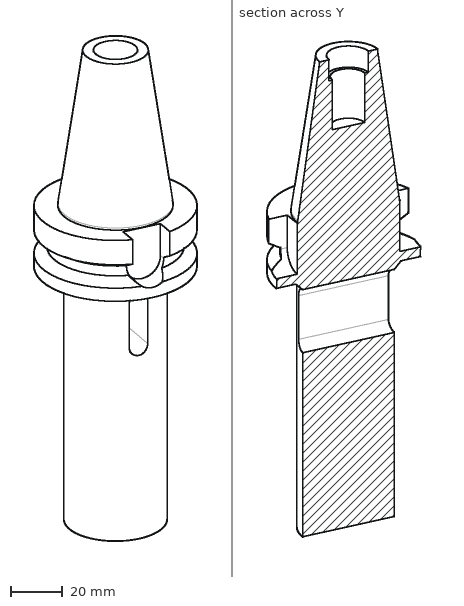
import cadquery as cq
import math

taper_length = 65.4
taper_ratio = 7 / 24
gauge_diameter = 44.45
taper_tip_diameter = gauge_diameter - taper_ratio * taper_length
shank_end_z = -135.0
shank_diameter = 40.0

flange_diameter = 63.0
flange_top_z = -1.0
flange_bottom_z = -27.0
groove_center_z = -16.4
groove_floor_diameter = 53.0
groove_floor_width = 4.2
groove_flank_angle = 30.0
groove_depth = (flange_diameter - groove_floor_diameter) / 2
groove_flank_height = groove_depth * math.tan(math.radians(groove_flank_angle))
neck_height = 3.0

key_width = 16.1
key_floor_offset = 22.5
key_bottom_z = -22.7

drift_width = 8.0
drift_top_z = -30.0
drift_bottom_z = -56.6

counterbore_diameter = 17.0
counterbore_depth = 9.0
stud_hole_diameter = 14.0
stud_hole_depth = 30.0


def make_body():
    """Revolve the taper, flange and shank as one half profile."""
    flange_radius = flange_diameter / 2
    groove_radius = groove_floor_diameter / 2
    gauge_radius = gauge_diameter / 2
    shank_radius = shank_diameter / 2
    groove_floor_top_z = groove_center_z + groove_floor_width / 2
    groove_floor_bottom_z = groove_center_z - groove_floor_width / 2
    profile = [
        (0, taper_length),
        (taper_tip_diameter / 2, taper_length),
        (gauge_radius, 0),
        (gauge_radius, flange_top_z),
        (flange_radius, flange_top_z),
        (flange_radius, groove_floor_top_z + groove_flank_height),
        (groove_radius, groove_floor_top_z),
        (groove_radius, groove_floor_bottom_z),
        (flange_radius, groove_floor_bottom_z - groove_flank_height),
        (flange_radius, flange_bottom_z),
        (shank_radius + neck_height, flange_bottom_z),
        (shank_radius, flange_bottom_z - neck_height),
        (shank_radius, shank_end_z),
        (0, shank_end_z),
    ]
    return cq.Workplane("XZ").polyline(profile).close().revolve(360, (0, 0), (0, 1))


def make_key_slot(side):
    """Round-bottomed slot, open at the top and outside; side is -1 or +1."""
    half_width = key_width / 2
    round_center_z = key_bottom_z + half_width
    return (
        cq.Workplane("YZ", origin=(side * key_floor_offset, 0, 0))
        .moveTo(-half_width, flange_top_z)
        .lineTo(-half_width, round_center_z)
        .threePointArc((0, key_bottom_z), (half_width, round_center_z))
        .lineTo(half_width, flange_top_z)
        .close()
        .extrude(side * flange_diameter / 2)
    )


def make_drift_slot():
    """Round-ended slot running right through the shank."""
    drift_length = drift_top_z - drift_bottom_z
    drift_center_z = (drift_top_z + drift_bottom_z) / 2
    return (
        cq.Workplane("YZ", origin=(0, 0, drift_center_z))
        .slot2D(drift_length, drift_width, 90)
        .extrude(shank_diameter, both=True)
    )


def make_stud_hole():
    """Blind pull-stud hole with a wider entry."""
    top = cq.Workplane("XY", origin=(0, 0, taper_length))
    counterbore = top.circle(counterbore_diameter / 2).extrude(-counterbore_depth)
    hole = top.circle(stud_hole_diameter / 2).extrude(-stud_hole_depth)
    return counterbore.union(hole)


result = make_body()
for side in (-1, 1):
    result = result.cut(make_key_slot(side))
result = result.cut(make_drift_slot())
result = result.cut(make_stud_hole())